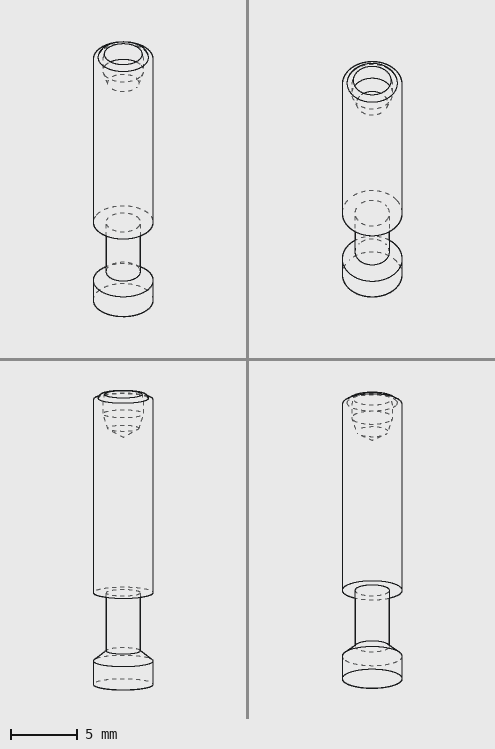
import cadquery as cq

total_height = 22.2
body_diameter = 4.5
body_radius = body_diameter / 2

foot_height = 1.8
foot_cone_height = 0.78
neck_radius = 1.29
body_bottom = 7.02

lip_height = 0.3
lip_radius = 1.89
shoulder_round = 0.145

mouth_radius = 1.42
bore_radius = 1.53
mouth_depth = 0.5
bore_depth = 1.49
drill_radius = 1.18
taper_depth = 1.1
drill_point_depth = 0.69


def make_body():
    """Revolved foot, neck, sleeve and lip."""
    shoulder_z = total_height - lip_height
    body = (
        cq.Workplane("XZ")
        .lineTo(body_radius, 0)
        .lineTo(body_radius, foot_height)
        .lineTo(neck_radius, foot_height + foot_cone_height)
        .lineTo(neck_radius, body_bottom)
        .lineTo(body_radius, body_bottom)
        .lineTo(body_radius, shoulder_z - shoulder_round)
        .radiusArc((body_radius - shoulder_round, shoulder_z), -shoulder_round)
        .lineTo(lip_radius, shoulder_z)
        .radiusArc((lip_radius - lip_height, total_height), -lip_height)
        .lineTo(0, total_height)
        .close()
    )
    return body.revolve(360, (0, 0), (0, 1))


def make_socket():
    """Revolved cavity opening through the lip."""
    mouth_bottom = total_height - mouth_depth
    bore_bottom = total_height - bore_depth
    taper_bottom = bore_bottom - taper_depth
    socket = (
        cq.Workplane("XZ")
        .moveTo(0, total_height)
        .lineTo(mouth_radius, total_height)
        .lineTo(bore_radius, mouth_bottom)
        .lineTo(bore_radius, bore_bottom)
        .lineTo(drill_radius, taper_bottom)
        .lineTo(0, taper_bottom - drill_point_depth)
        .close()
    )
    return socket.revolve(360, (0, 0), (0, 1))


result = make_body().cut(make_socket())